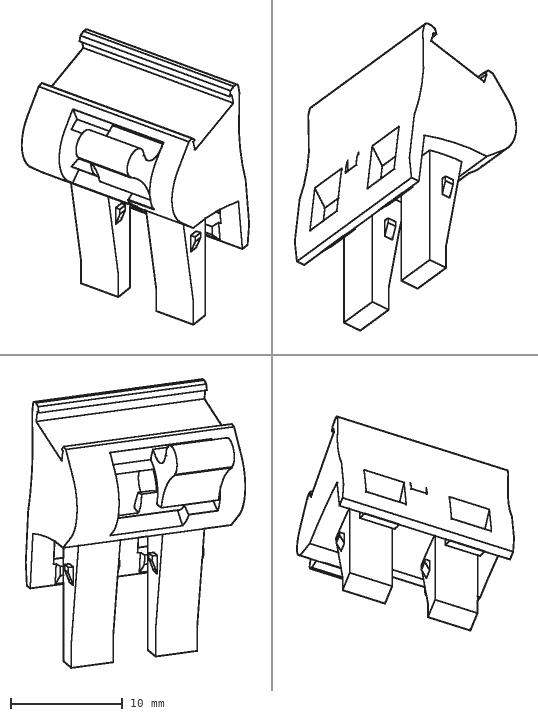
import cadquery as cq
import math


length = 16.25
module_length = length / 2
module_centers = (-module_length / 2, module_length / 2)

drum_y, drum_z = -4.4, 17.6
drum_radius = 2.8
drum_front_y = drum_y - drum_radius
nose_radius = 3.95

pocket_left, pocket_right = -4.07, 5.72
deep_floor_right = 2.92
pocket_top_edge = (-6.15, 21.65)
pocket_top_root = (-5.48, 20.15)
in_front = -9.75

bore_radius = 1.53
recess_left, recess_right = pocket_left, 0
lip_angle = 45
stop_length = 1.44
stop_top = 17.68

lever_left, lever_right = 0.12, 5.65
ball_y, ball_z, ball_radius = -10.52, 21.8, 1.35

leg_width = 4.05
leg_top = 14.6
barb_reach = 0.46
barb_front, barb_back = -2.31, -1.44
barb_top, barb_shoulder, barb_bottom = 9.76, 9.25, 8.0

inner_corner = (2.3, 11.66)
back_crease = (3.45, 13.35)
hook_nose = (1.63, 8.45)
window_width = 3.8
window_floor = 8.33
behind_clip = 4.38
hook_width = 3.3

notch_length = 1.5
notch_wall_y = 3.26
notch_floor, notch_top = 12.42, 14.6
notch_depth = 1.22


def on_circle(radius, degrees):
    """Point (y, z) on a circle round the drum axis; 0 degrees faces the front."""
    angle = math.radians(degrees)
    return (drum_y - radius * math.cos(angle), drum_z + radius * math.sin(angle))


def profile(y, z):
    """Start a cross-section in the YZ plane."""
    return cq.Workplane("YZ").moveTo(y, z)


def extrude_between(outline, left, right):
    """Extrude a closed YZ cross-section from X = left to X = right."""
    return outline.extrude(right - left).translate((left, 0, 0))


def cylinder_between(radius, left, right):
    """Cylinder on the drum axis."""
    circle = cq.Workplane("YZ").center(drum_y, drum_z).circle(radius)
    return extrude_between(circle, left, right)


def make_body():
    """Cross-section with the rail seat on top, the nose in front and the clip behind."""
    outline = (
        profile(1.53, 24.35)
        .lineTo(1.02, 24.15)
        .lineTo(0.88, 23.62)
        .lineTo(1.22, 23.6)
        .lineTo(1.49, 22.6)
        .lineTo(-4.65, 20.9)
        .lineTo(-4.95, 21.92)
        .lineTo(-4.68, 22.0)
        .lineTo(-5.11, 22.4)
        .lineTo(-5.65, 22.3)
        .lineTo(*on_circle(nose_radius, 40))
        .threePointArc(on_circle(nose_radius, 0), (-6.72, 14.2))
        .lineTo(-4.95, 12.7)
        .lineTo(-2.92, 12.69)
        .threePointArc((-0.32, 12.32), inner_corner)
        .lineTo(2.92, 6.23)
        .lineTo(3.77, 6.23)
        .lineTo(4.02, 8.35)
        .lineTo(*back_crease)
        .threePointArc((2.75, 16.15), (2.39, 19.11))
        .lineTo(2.45, 23.18)
        .lineTo(2.3, 23.95)
        .threePointArc((2.1, 24.25), (1.78, 24.35))
        .close()
    )
    return extrude_between(outline, -module_length, module_length)


def make_pocket_step(floor_root, floor_edge, left, right):
    """Wedge-shaped slice of the pocket whose floor slopes from its root out to the nose."""
    outline = (
        profile(in_front, pocket_top_edge[1])
        .lineTo(*pocket_top_edge)
        .lineTo(*pocket_top_root)
        .lineTo(drum_y, drum_z)
        .lineTo(*floor_root)
        .lineTo(*floor_edge)
        .lineTo(in_front, floor_edge[1])
        .close()
    )
    return extrude_between(outline, left, right)


def make_pocket():
    """Space round the drum: deep on the left, with a raised floor on the right."""
    deep = make_pocket_step((-5.0, 14.85), (-6.2, 13.75), pocket_left, deep_floor_right)
    shallow = make_pocket_step((-6.6, 15.88), (-7.65, 15.32), deep_floor_right, pocket_right)
    return deep.union(shallow).cut(cylinder_between(drum_radius, pocket_left, pocket_right))


def make_finger_recess():
    """Round-backed recess whose flat cheeks flare from the bore to the drum surface."""
    tangent_angle = lip_angle + math.degrees(math.acos(bore_radius / drum_radius))
    top_lip = on_circle(drum_radius, lip_angle)
    bottom_lip = on_circle(drum_radius, -lip_angle)
    flare = (
        profile(*on_circle(bore_radius, tangent_angle))
        .lineTo(*top_lip)
        .lineTo(drum_front_y, top_lip[1])
        .lineTo(drum_front_y, bottom_lip[1])
        .lineTo(*bottom_lip)
        .lineTo(*on_circle(bore_radius, -tangent_angle))
        .close()
    )
    recess = extrude_between(flare, recess_left, recess_right)
    recess = recess.union(cylinder_between(bore_radius, recess_left, recess_right))
    return recess.cut(make_stop_space())


def make_stop_space():
    """Region kept solid inside the recess as a stop tooth with a flared root."""
    outline = (
        profile(drum_front_y, stop_top)
        .lineTo(-6.35, stop_top - 0.12)
        .threePointArc((-5.92, 16.8), (-5.43, 15.97))
        .lineTo(-5.43, drum_z - drum_radius)
        .lineTo(drum_front_y, drum_z - drum_radius)
        .close()
    )
    return extrude_between(outline, recess_right - stop_length, recess_right)


def make_lever():
    """Arm that grows out of the drum and ends in a round grip."""
    outline = (
        profile(drum_y, drum_z)
        .lineTo(-5.53, 20.25)
        .lineTo(-5.92, 21.4)
        .lineTo(-6.53, 21.05)
        .threePointArc((-7.55, 20.62), (-9.08, 21.8))
        .lineTo(ball_y, ball_z)
        .lineTo(-11.32, 20.62)
        .threePointArc((-9.45, 19.15), (-8.05, 16.45))
        .lineTo(-6.82, 16.45)
        .close()
    )
    grip = cq.Workplane("YZ").center(ball_y, ball_z).circle(ball_radius)
    arm = extrude_between(outline, lever_left, lever_right)
    return arm.union(extrude_between(grip, lever_left, lever_right))


def make_leg(center):
    """Tapered leg with a snap barb on each side."""
    outline = (
        profile(0, 0)
        .lineTo(0, leg_top)
        .lineTo(-3.7, leg_top)
        .lineTo(-3.7, 12.7)
        .lineTo(-1.9, 2.44)
        .lineTo(-1.9, 0)
        .close()
    )
    half = leg_width / 2
    leg = extrude_between(outline, center - half, center + half)
    barbs = (
        cq.Workplane("XZ", origin=(center, barb_back, 0))
        .moveTo(-half - barb_reach, barb_top)
        .lineTo(half + barb_reach, barb_top)
        .lineTo(half + barb_reach, barb_shoulder)
        .lineTo(half, barb_bottom)
        .lineTo(-half, barb_bottom)
        .lineTo(-half - barb_reach, barb_shoulder)
        .close()
        .extrude(barb_back - barb_front)
    )
    return leg.union(barbs)


def make_window(center):
    """Opening through the clip between the hook and the underside."""
    outline = (
        profile(hook_nose[0], window_floor)
        .lineTo(behind_clip, window_floor)
        .lineTo(behind_clip, back_crease[1])
        .lineTo(*back_crease)
        .lineTo(*inner_corner)
        .lineTo(hook_nose[0], inner_corner[1])
        .close()
    )
    return extrude_between(outline, center - window_width / 2, center + window_width / 2)


def make_hook(center):
    """Catch on the inner face of the clip, flush with the window floor."""
    outline = (
        profile(3.05, window_floor)
        .lineTo(2.7, window_floor)
        .lineTo(*hook_nose)
        .lineTo(1.68, 7.55)
        .lineTo(2.85, 6.35)
        .lineTo(3.05, 6.35)
        .close()
    )
    return extrude_between(outline, center - hook_width / 2, center + hook_width / 2)


def make_notch():
    """Shallow notch in the back face beside the joint of the two halves."""
    block = cq.Workplane("XY").box(
        notch_length, notch_depth, notch_top - notch_floor, centered=False
    )
    return block.translate((0, notch_wall_y, notch_floor))


result = make_body().cut(make_pocket()).cut(make_finger_recess()).union(make_lever())
for center in module_centers:
    result = result.cut(make_window(center)).union(make_hook(center)).union(make_leg(center))
result = result.cut(make_notch())